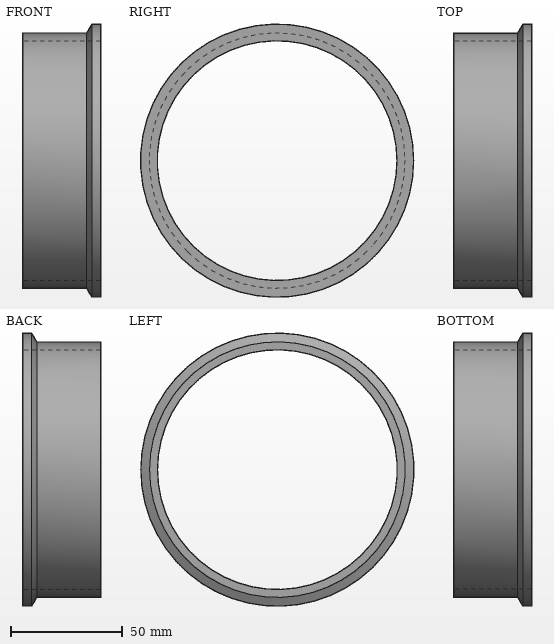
import cadquery as cq

length = 35.0
flange_diameter = 122.3
tube_diameter = 114.4
bore_diameter = 107.1

rim_width = 4.0
shoulder_width = 2.3

flange_radius = flange_diameter / 2
tube_radius = tube_diameter / 2
bore_radius = bore_diameter / 2
rim_start = length - rim_width
shoulder_start = rim_start - shoulder_width

wall_section = (
    cq.Workplane("XY")
    .moveTo(0, bore_radius)
    .lineTo(0, tube_radius)
    .lineTo(shoulder_start, tube_radius)
    .lineTo(rim_start, flange_radius)
    .lineTo(length, flange_radius)
    .lineTo(length, bore_radius)
    .close()
)

result = wall_section.revolve(360, (0, 0, 0), (1, 0, 0))